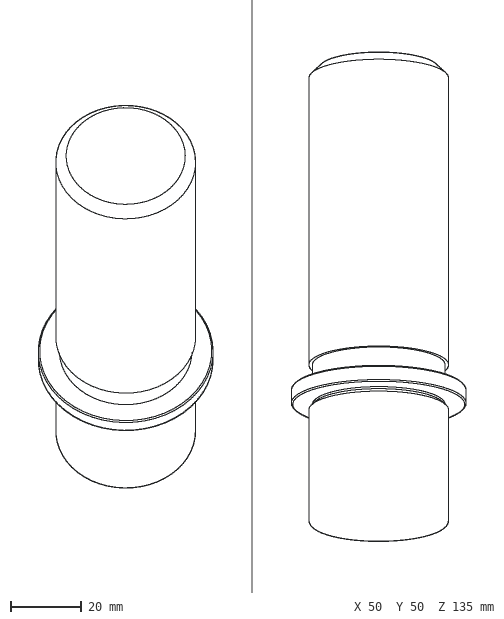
import cadquery as cq

total_length = 135.0
pin_diameter = 40.0
flange_diameter = 50.0
neck_diameter = 38.0

flange_bottom = 35.2
flange_thickness = 4.7
neck_length = 7.0
relief_width = 1.6

tip_chamfer = 3.0
base_fillet = 1.0
flange_chamfer = 0.4

flange_top = flange_bottom + flange_thickness
neck_top = flange_top + neck_length
relief_taper = (pin_diameter - neck_diameter) / 2
relief_bottom = flange_bottom - relief_width
shank_top = relief_bottom + relief_taper


def cylinder(diameter, bottom, top):
    """Cylinder on the Z axis between two heights."""
    return cq.Workplane("XY").workplane(offset=bottom).circle(diameter / 2).extrude(top - bottom)


shank = cylinder(pin_diameter, 0, shank_top)
shank = shank.faces(">Z").chamfer(relief_taper).faces("<Z").edges().fillet(base_fillet)

core = cylinder(neck_diameter, shank_top, neck_top)

flange = cylinder(flange_diameter, flange_bottom, flange_top).edges().chamfer(flange_chamfer)

guide = cylinder(pin_diameter, neck_top, total_length).faces(">Z").chamfer(tip_chamfer)

result = shank.union(core).union(flange).union(guide)